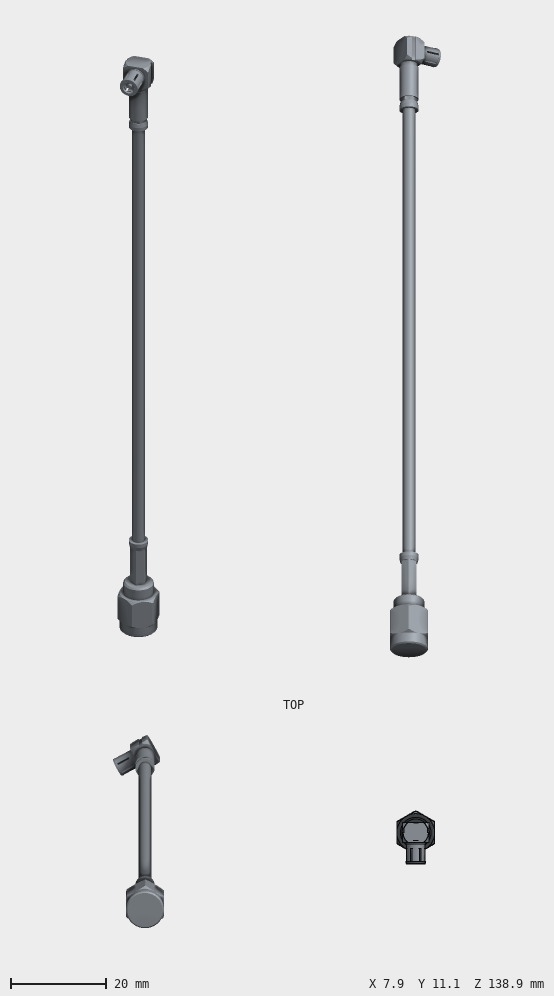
import cadquery as cq
import math

LENGTH = 138.9
DEPTH = 11.1

NUT_FLATS = 7.9
NUT_CORNER_DIAMETER = 9.0
NUT_CORNER_ANGLE = 90
NUT_RIM_HEIGHT = 2.4
NUT_RIM_CHAMFER = 0.3
NUT_HEX_HEIGHT = 6.4
NUT_TAIL_DIAMETER = 6.4
NUT_TAIL_HEIGHT = 2.8
NUT_TAIL_CHAMFER = 0.35

CRIMP_FLATS = 3.2
CRIMP_CORNER_DIAMETER = 3.6
LOWER_CRIMP_LENGTH = 8.5
UPPER_CRIMP_GAP = 0.8
LOWER_CRIMP_ANGLE = 90
UPPER_CRIMP_ANGLE = 0
COLLAR_DIAMETER = 4.0
COLLAR_HEIGHT = 0.8
CONE_HEIGHT = 0.8

CABLE_DIAMETER = 2.6

HEAD_WIDTH = 5.5
HEAD_DEPTH = 4.2
HEAD_HEIGHT = 5.4
HEAD_LAND_DIAMETER = 5.3
NOTCH_WIDTH = 0.8
NOTCH_DEPTH = 0.3
NECK_DIAMETER = 3.6
NECK_HEIGHT = 0.8
BARREL_DIAMETER = 4.0
BARREL_LENGTH = 7.1

PLUG_DROP = 2.5
BASE_DIAMETER = 4.7
BASE_DEPTH = 0.4
FLANGE_DIAMETER = 4.0
FLANGE_HEIGHT = 0.3
SLEEVE_DIAMETER = 3.9
SLEEVE_BORE = 2.1
MOUTH_DIAMETER = 2.6
LIP_LENGTH = 0.5
LIP_CHAMFER = 0.3
SLOT_COUNT = 6
SLOT_WIDTH = 0.4
SLOT_LENGTH = 2.8
PIN_DIAMETER = 0.92
PIN_SETBACK = 0.4

nut_hex_top = NUT_RIM_HEIGHT + NUT_HEX_HEIGHT
nut_top = nut_hex_top + NUT_TAIL_HEIGHT
lower_ferrule_length = LOWER_CRIMP_LENGTH + CONE_HEIGHT + COLLAR_HEIGHT
head_bottom = LENGTH - HEAD_HEIGHT
barrel_top = head_bottom - NECK_HEIGHT
barrel_bottom = barrel_top - BARREL_LENGTH
upper_crimp_length = UPPER_CRIMP_GAP + BARREL_LENGTH
upper_ferrule_length = upper_crimp_length + CONE_HEIGHT + COLLAR_HEIGHT

plug_axis = LENGTH - PLUG_DROP
head_face = HEAD_DEPTH / 2
plug_tip = DEPTH - NUT_CORNER_DIAMETER / 2
bore_floor = plug_tip - LIP_LENGTH - SLOT_LENGTH


def upright_cylinder(diameter, bottom, height):
    return cq.Workplane("XY").workplane(offset=bottom).circle(diameter / 2).extrude(height)


def plug_cylinder(diameter, start, end):
    """Cylinder on the plug's axis, from start to end measured towards -Y."""
    plane = cq.Workplane("XZ").workplane(offset=start).center(0, plug_axis)
    return plane.circle(diameter / 2).extrude(end - start)


def hexagon(flats, bottom, height, corner_angle):
    """Hexagonal prism with one corner at corner_angle from +X."""
    prism = cq.Workplane("XY").polygon(6, flats / math.cos(math.pi / 6)).extrude(height)
    return prism.rotate((0, 0, 0), (0, 0, 1), corner_angle).translate((0, 0, bottom))


def bevelled_cylinder(diameter, land_diameter, bottom, height):
    """Cylinder with 45 degree bevels that leave a flat land on both ends."""
    bevel = (diameter - land_diameter) / 2
    return upright_cylinder(diameter, bottom, height).faces("<Z or >Z").chamfer(bevel)


def make_nut():
    """Round rim, hexagonal grip with bevelled corners, and a round tail."""
    rim = upright_cylinder(NUT_FLATS, 0, NUT_RIM_HEIGHT).faces("<Z").chamfer(NUT_RIM_CHAMFER)
    envelope = bevelled_cylinder(NUT_CORNER_DIAMETER, NUT_FLATS, NUT_RIM_HEIGHT, NUT_HEX_HEIGHT)
    grip = hexagon(NUT_FLATS, NUT_RIM_HEIGHT, NUT_HEX_HEIGHT, NUT_CORNER_ANGLE).intersect(envelope)
    tail = upright_cylinder(NUT_TAIL_DIAMETER, nut_hex_top, NUT_TAIL_HEIGHT)
    return rim.union(grip).union(tail.faces(">Z").chamfer(NUT_TAIL_CHAMFER))


def make_crimp(length, corner_angle):
    """Hexagonal crimp standing on Z = 0, its corners rounded to a circle."""
    rounding = upright_cylinder(CRIMP_CORNER_DIAMETER, 0, length)
    return hexagon(CRIMP_FLATS, 0, length, corner_angle).intersect(rounding)


def make_ferrule(crimp_length, corner_angle):
    """Ferrule standing on Z = 0: crimp, cone, then a collar with the cable's socket."""
    collar_bottom = crimp_length + CONE_HEIGHT
    cone_base = cq.Workplane("XY").workplane(offset=crimp_length).circle(CRIMP_CORNER_DIAMETER / 2)
    cone = cone_base.workplane(offset=CONE_HEIGHT).circle(COLLAR_DIAMETER / 2).loft()
    collar = upright_cylinder(COLLAR_DIAMETER, collar_bottom, COLLAR_HEIGHT)
    socket = upright_cylinder(CABLE_DIAMETER, collar_bottom, COLLAR_HEIGHT)
    return make_crimp(crimp_length, corner_angle).union(cone).union(collar).cut(socket)


def make_cable():
    """Cable seated in the collar sockets of both ferrules."""
    bottom = nut_top + lower_ferrule_length - COLLAR_HEIGHT
    top = barrel_top - upper_ferrule_length + COLLAR_HEIGHT
    return upright_cylinder(CABLE_DIAMETER, bottom, top - bottom)


def make_head():
    """Block with bevelled corners, a notch down both X sides and a recess for the plug's base."""
    middle = head_bottom + HEAD_HEIGHT / 2
    corner_diameter = math.hypot(HEAD_WIDTH, HEAD_DEPTH)
    envelope = bevelled_cylinder(corner_diameter, HEAD_LAND_DIAMETER, head_bottom, HEAD_HEIGHT)
    head = cq.Workplane("XY").box(HEAD_WIDTH, HEAD_DEPTH, HEAD_HEIGHT).translate((0, 0, middle))
    head = head.intersect(envelope)
    for side in (-1, 1):
        notch = cq.Workplane("XY").box(2 * NOTCH_DEPTH, NOTCH_WIDTH, HEAD_HEIGHT)
        head = head.cut(notch.translate((side * HEAD_WIDTH / 2, NOTCH_WIDTH / 2, middle)))
    return head.cut(plug_cylinder(BASE_DIAMETER, head_face - BASE_DEPTH, head_face))


def make_elbow():
    """Head, neck and a barrel whose socket fits the upper ferrule's crimp."""
    neck = upright_cylinder(NECK_DIAMETER, barrel_top, NECK_HEIGHT)
    barrel = upright_cylinder(BARREL_DIAMETER, barrel_bottom, BARREL_LENGTH)
    socket = make_crimp(BARREL_LENGTH, UPPER_CRIMP_ANGLE).translate((0, 0, barrel_bottom))
    return make_head().union(neck).union(barrel.cut(socket))


def make_sleeve():
    """Plug shell: base disc, flange, tube with slots all round, and a lip at the tip."""
    base = plug_cylinder(BASE_DIAMETER, head_face - BASE_DEPTH, head_face)
    flange = plug_cylinder(FLANGE_DIAMETER, head_face, head_face + FLANGE_HEIGHT)
    tube = plug_cylinder(SLEEVE_DIAMETER, head_face, plug_tip)
    lip = plug_cylinder(FLANGE_DIAMETER, plug_tip - LIP_LENGTH, plug_tip)
    lip = lip.faces("<Y").chamfer(LIP_CHAMFER)
    bore = plug_cylinder(SLEEVE_BORE, bore_floor, plug_tip)
    mouth = plug_cylinder(MOUTH_DIAMETER, plug_tip - LIP_LENGTH, plug_tip)
    sleeve = base.union(flange).union(tube).union(lip).cut(bore).cut(mouth)
    blade = cq.Workplane("XY").box(
        FLANGE_DIAMETER, SLOT_LENGTH, SLOT_WIDTH, centered=(False, False, True)
    )
    for i in range(SLOT_COUNT):
        slot = blade.rotate((0, 0, 0), (0, 1, 0), i * 360 / SLOT_COUNT)
        sleeve = sleeve.cut(slot.translate((0, LIP_LENGTH - plug_tip, plug_axis)))
    return sleeve


def make_pin():
    """Centre contact standing on the floor of the sleeve's bore."""
    return plug_cylinder(PIN_DIAMETER, bore_floor, plug_tip - PIN_SETBACK)


nut = make_nut()
lower_ferrule = make_ferrule(LOWER_CRIMP_LENGTH, LOWER_CRIMP_ANGLE).translate((0, 0, nut_top))
upper_ferrule = make_ferrule(upper_crimp_length, UPPER_CRIMP_ANGLE)
upper_ferrule = upper_ferrule.rotate((0, 0, 0), (1, 0, 0), 180).translate((0, 0, barrel_top))
cable = make_cable()
elbow = make_elbow()
sleeve = make_sleeve()
pin = make_pin()
bodies = [nut, lower_ferrule, upper_ferrule, cable, elbow, sleeve, pin]
result = cq.Compound.makeCompound([body.val() for body in bodies])